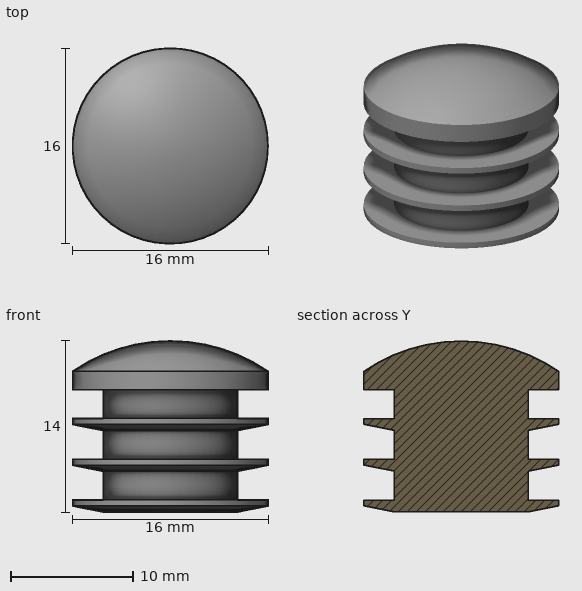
import cadquery as cq
import math

outer_diameter = 16.0
stem_diameter = 11.0
total_height = 14.0
stem_height = 10.0
head_rim_height = 1.5
fin_count = 3
fin_height = 1.0

outer_radius = outer_diameter / 2
stem_radius = stem_diameter / 2
fin_pitch = stem_height / fin_count
fin_rim_height = fin_height / 2
dome_base_z = stem_height + head_rim_height
dome_height = total_height - dome_base_z
dome_radius = (outer_radius**2 + dome_height**2) / (2 * dome_height)


def make_head():
    """Cylindrical rim capped by a spherical dome, revolved about Z."""
    dome_mid_r = outer_radius / 2
    dome_center_z = total_height - dome_radius
    dome_mid_z = dome_center_z + math.sqrt(dome_radius**2 - dome_mid_r**2)
    return (
        cq.Workplane("XZ")
        .moveTo(0, stem_height)
        .lineTo(outer_radius, stem_height)
        .lineTo(outer_radius, dome_base_z)
        .threePointArc((dome_mid_r, dome_mid_z), (0, total_height))
        .close()
        .revolve(360, (0, 0, 0), (0, 1, 0))
    )


def make_fin(bottom_z):
    """Disc with a conical underside that widens from the stem to the rim."""
    top_z = bottom_z + fin_height
    return (
        cq.Workplane("XZ")
        .moveTo(0, bottom_z)
        .lineTo(stem_radius, bottom_z)
        .lineTo(outer_radius, top_z - fin_rim_height)
        .lineTo(outer_radius, top_z)
        .lineTo(0, top_z)
        .close()
        .revolve(360, (0, 0, 0), (0, 1, 0))
    )


stem = cq.Workplane("XY").circle(stem_radius).extrude(stem_height)
result = stem.union(make_head())
for fin_index in range(fin_count):
    result = result.union(make_fin(fin_index * fin_pitch))